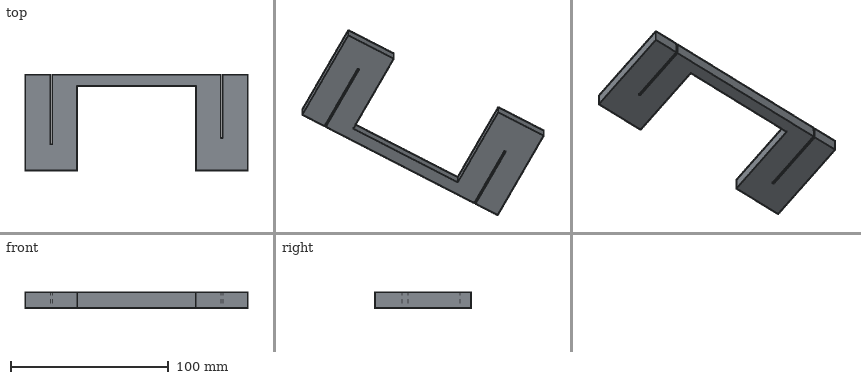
import cadquery as cq

length = 141.1
depth = 61.0
thickness = 10.0

leg_width = 32.9
bridge_depth = 7.3
opening_width = length - 2 * leg_width
opening_depth = depth - bridge_depth

slot_width = 1.0
slot_offset = 16.5
slot_center_x = length / 2 - slot_offset
left_slot_depth = 44.0
right_slot_depth = 40.1


def cut_through_box(width, cut_depth, center_x, center_y):
    """Rectangular cutter spanning the full plate thickness."""
    return cq.Workplane("XY").box(width, cut_depth, thickness).translate((center_x, center_y, 0))


plate = cq.Workplane("XY").box(length, depth, thickness)

result = plate.cut(cut_through_box(opening_width, opening_depth, 0, -bridge_depth / 2))

for center_x, slot_depth in ((-slot_center_x, left_slot_depth), (slot_center_x, right_slot_depth)):
    slot_center_y = (depth - slot_depth) / 2
    result = result.cut(cut_through_box(slot_width, slot_depth, center_x, slot_center_y))